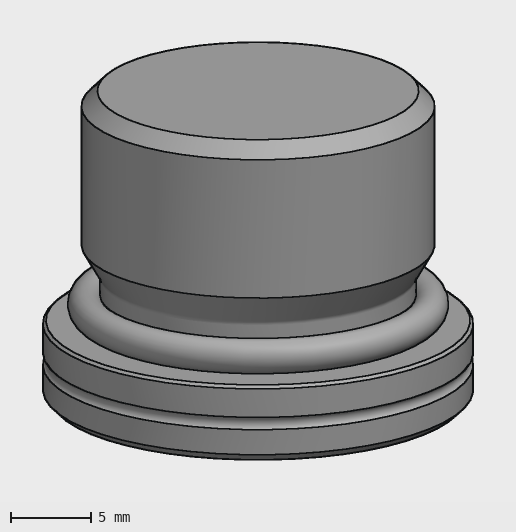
import cadquery as cq
import math

total_height = 20.0
flange_radius = 26.8 / 2
flange_height = 5.0
flange_bottom_chamfer = 0.5
flange_top_chamfer = 0.2
head_radius = 22.0 / 2
head_bottom = 9.97
head_chamfer = 1.0
neck_radius = 19.7 / 2
neck_fillet = 0.5
cone_angle = math.radians(30)
cone_bottom = head_bottom - (head_radius - neck_radius) / math.tan(cone_angle)

groove_radius = 0.5
groove_depth = 0.2
groove_height = 2.54

ring_section_radius = 2.2 / 2
ring_outer_radius = 23.7 / 2
ring_center_radius = ring_outer_radius - ring_section_radius
ring_height = flange_height + ring_section_radius


def make_torus(center_radius, section_radius, height):
    """Solid torus around the Z axis, centred at the given height."""
    return (
        cq.Workplane("XZ")
        .center(center_radius, height)
        .circle(section_radius)
        .revolve(360, (-center_radius, 0), (-center_radius, 1))
    )


def make_flange():
    """Disc with a chamfered lower rim, a finely chamfered upper rim and a rim groove."""
    flange = cq.Workplane("XY").circle(flange_radius).extrude(flange_height)
    flange = flange.faces("<Z").edges().chamfer(flange_bottom_chamfer)
    flange = flange.faces(">Z").edges().chamfer(flange_top_chamfer)
    groove_center_radius = flange_radius - groove_depth + groove_radius
    return flange.cut(make_torus(groove_center_radius, groove_radius, groove_height))


def make_stem():
    """Neck that widens through a cone into the cylindrical head."""
    tangent_length = neck_fillet * math.tan(cone_angle / 2)
    fillet_bottom = cone_bottom - tangent_length
    fillet_end_radius = neck_radius + tangent_length * math.sin(cone_angle)
    fillet_top = cone_bottom + tangent_length * math.cos(cone_angle)
    fillet_mid_radius = neck_radius + neck_fillet * (1 - math.cos(cone_angle / 2))
    fillet_mid_height = fillet_bottom + neck_fillet * math.sin(cone_angle / 2)
    return (
        cq.Workplane("XZ")
        .moveTo(0, flange_height)
        .lineTo(neck_radius, flange_height)
        .lineTo(neck_radius, fillet_bottom)
        .threePointArc((fillet_mid_radius, fillet_mid_height), (fillet_end_radius, fillet_top))
        .lineTo(head_radius, head_bottom)
        .lineTo(head_radius, total_height - head_chamfer)
        .lineTo(head_radius - head_chamfer, total_height)
        .lineTo(0, total_height)
        .close()
        .revolve(360, (0, 0), (0, 1))
    )


sealing_ring = make_torus(ring_center_radius, ring_section_radius, ring_height)
plug = make_flange().union(make_stem()).cut(sealing_ring)

result = cq.Compound.makeCompound([plug.val(), sealing_ring.val()])